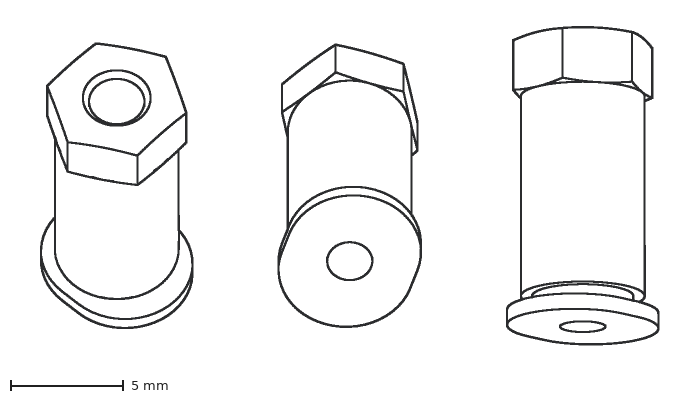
import cadquery as cq
import math

total_height = 13.0
flange_height = 0.7
neck_height = 0.69
hex_height = 2.5
hex_bottom = total_height - hex_height
body_bottom = flange_height + neck_height

body_diameter = 5.5
neck_diameter = 4.5
flange_length = 7.0
flange_width = 6.0
corner_bevel_angle = 15.0

through_diameter = 2.0
upper_bore_diameter = 2.46
mouth_diameter = 3.0
upper_bore_depth = 6.5
mouth_angle = 45.0


def cylinder(diameter, bottom, top):
    return cq.Workplane("XY").workplane(offset=bottom).circle(diameter / 2).extrude(top - bottom)


def make_flange():
    """Round-ended flange, longest along X."""
    return cq.Workplane("XY").slot2D(flange_length, flange_width).extrude(flange_height)


def make_hex_head():
    """Hexagon with corners on Y, its corners bevelled at both ends by cones."""
    corner_diameter = body_diameter / math.cos(math.radians(30))
    prism = (
        cq.Workplane("XY")
        .workplane(offset=hex_bottom)
        .transformed(rotate=(0, 0, 90))
        .polygon(6, corner_diameter)
        .extrude(hex_height)
    )
    corner_radius = corner_diameter / 2
    flat_radius = body_diameter / 2
    bevel_drop = (corner_radius - flat_radius) * math.tan(math.radians(corner_bevel_angle))
    bevel_envelope = (
        cq.Workplane("XZ")
        .moveTo(0, hex_bottom)
        .lineTo(flat_radius, hex_bottom)
        .lineTo(corner_radius, hex_bottom + bevel_drop)
        .lineTo(corner_radius, total_height - bevel_drop)
        .lineTo(flat_radius, total_height)
        .lineTo(0, total_height)
        .close()
        .revolve(360, (0, 0, 0), (0, 1, 0))
    )
    return prism.intersect(bevel_envelope)


def make_bore():
    """Stepped through bore with a countersunk mouth at the top."""
    mouth_radius = mouth_diameter / 2
    upper_radius = upper_bore_diameter / 2
    through_radius = through_diameter / 2
    mouth_depth = (mouth_radius - upper_radius) / math.tan(math.radians(mouth_angle))
    step_height = total_height - upper_bore_depth
    return (
        cq.Workplane("XZ")
        .lineTo(through_radius, 0)
        .lineTo(through_radius, step_height)
        .lineTo(upper_radius, step_height)
        .lineTo(upper_radius, total_height - mouth_depth)
        .lineTo(mouth_radius, total_height)
        .lineTo(0, total_height)
        .close()
        .revolve(360, (0, 0, 0), (0, 1, 0))
    )


neck = cylinder(neck_diameter, flange_height, body_bottom)
body = cylinder(body_diameter, body_bottom, hex_bottom)
result = make_flange().union(neck).union(body).union(make_hex_head()).cut(make_bore())